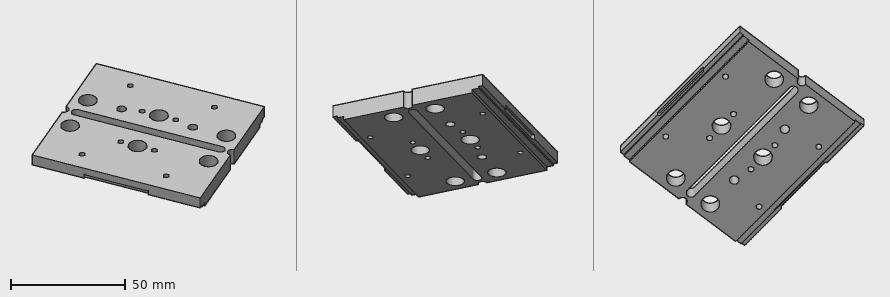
import cadquery as cq

length = 80.0
width = 72.0
height = 8.0

edge_rebates = [(2.0, 2.5), (5.2, 1.6)]

slot_width = 4.2
slot_length = 72.8

large_diameter = 8.2
medium_diameter = 4.2
small_diameter = 2.6
outer_hole_x = 33.0
outer_hole_y = 10.0
medium_hole_x = 17.0
center_hole_y = 12.0
flank_hole_x = 8.0
corner_hole_x = 20.0
corner_hole_y = 27.0

recess_length = 30.4
recess_depth = 1.0
recess_corner_radius = 1.0
recess_top = 4.5
recess_overhang = 2.4


def mirrored_points(x, y):
    """Four points mirrored about both center lines."""
    return [(sx * x, sy * y) for sx in (-1, 1) for sy in (-1, 1)]


def rebated_plate():
    plate = cq.Workplane("XY").box(length, width, height, centered=(True, True, False))
    for side in (-1, 1):
        for setback, rebate_height in edge_rebates:
            rebate = (
                cq.Workplane("XY")
                .center(0, side * (width - setback) / 2)
                .box(length, setback, rebate_height, centered=(True, True, False))
            )
            plate = plate.cut(rebate)
    return plate


def edge_recess(side):
    """Pocket open to the edge and the underside, with rounded inner corners."""
    return (
        cq.Workplane("XY")
        .center(0, side * (width + recess_overhang - recess_depth) / 2)
        .rect(recess_length, recess_overhang + recess_depth)
        .extrude(recess_top)
        .edges("|Z")
        .fillet(recess_corner_radius)
    )


def through_holes(points, diameter):
    return cq.Workplane("XY").pushPoints(points).circle(diameter / 2).extrude(height)


result = rebated_plate()
for side in (-1, 1):
    result = result.cut(edge_recess(side))

slot = cq.Workplane("XY").slot2D(slot_length, slot_width).extrude(height)
result = result.cut(slot)

hole_groups = [
    (mirrored_points(outer_hole_x, outer_hole_y), large_diameter),
    ([(0, -center_hole_y), (0, center_hole_y)], large_diameter),
    ([(-medium_hole_x, outer_hole_y), (medium_hole_x, outer_hole_y)], medium_diameter),
    (mirrored_points(flank_hole_x, center_hole_y), small_diameter),
    (mirrored_points(corner_hole_x, corner_hole_y), small_diameter),
    ([(-length / 2, 0), (length / 2, 0)], slot_width),
]
for points, diameter in hole_groups:
    result = result.cut(through_holes(points, diameter))